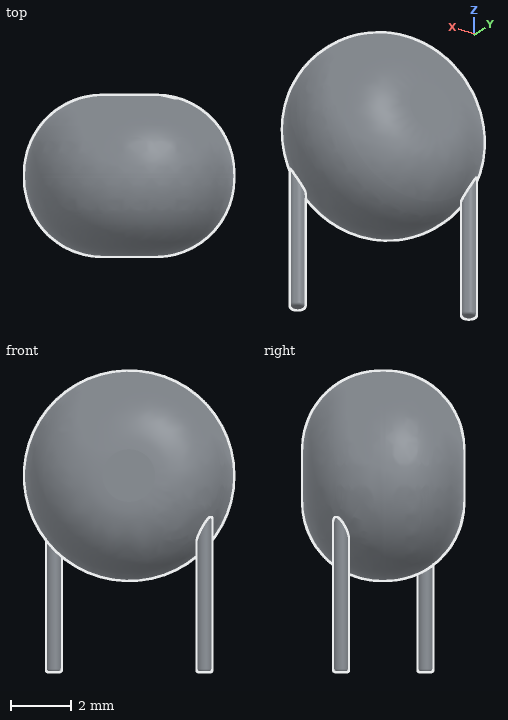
import cadquery as cq

body_diameter = 7.0
body_thickness = 5.4
edge_radius = 2.625

lead_diameter = 0.54
lead_reach = 3.03
lead_tip_radius = 0.1
lead_offset_x = 2.5
lead_offset_y = 1.4

body_radius = body_diameter / 2
body_center_z = body_radius


def make_body():
    """Disc with both rims heavily rounded."""
    disc = (
        cq.Workplane("XZ", origin=(0, body_thickness / 2, body_center_z))
        .circle(body_radius)
        .extrude(body_thickness)
    )
    return disc.edges("%CIRCLE").fillet(edge_radius)


def make_lead(x, y):
    """Round wire from its rounded lower tip up to mid-height inside the body."""
    lead = (
        cq.Workplane("XY", origin=(x, y, -lead_reach))
        .circle(lead_diameter / 2)
        .extrude(lead_reach + body_center_z)
    )
    return lead.faces("<Z").edges().fillet(lead_tip_radius)


result = make_body()
for side in (-1, 1):
    result = result.union(make_lead(side * lead_offset_x, -side * lead_offset_y))